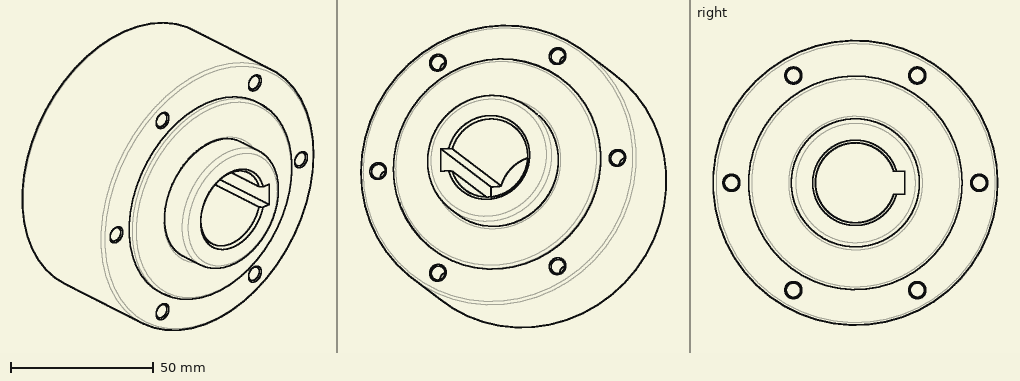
import cadquery as cq

hub_length = 68.0
hub_diameter = 45.0
hub_rounding = 1.5
cover_length = 48.0
cover_diameter = 75.0
cover_rounding = 1.0
rim_width = 43.0
rim_diameter = 100.0
rim_rounding = 1.0

bore_diameter = 28.0
bore_bevel = 1.0
key_width = 8.0
key_depth_from_axis = 17.3

hole_count = 6
hole_circle_diameter = 87.0
hole_diameter = 5.0
hole_mouth_diameter = 6.0
hole_depth = 12.0
hole_tip_length = 1.5


def disc(diameter, length):
    """Cylinder along X, centred on the origin."""
    return cq.Workplane("YZ", origin=(-length / 2, 0, 0)).circle(diameter / 2).extrude(length)


def revolved(outline):
    """Solid turned about the X axis from (x, radius) points."""
    return cq.Workplane("XY").polyline(outline).close().revolve(360, (0, 0, 0), (1, 0, 0))


def make_body():
    rim = disc(rim_diameter, rim_width).edges("%CIRCLE").fillet(rim_rounding)
    cover = disc(cover_diameter, cover_length).cut(disc(hub_diameter, cover_length))
    cover = cover.edges("%CIRCLE").fillet(cover_rounding)
    hub = disc(hub_diameter, hub_length).edges("%CIRCLE").fillet(hub_rounding)
    return rim.union(cover).union(hub)


def make_bore():
    end = hub_length / 2
    radius = bore_diameter / 2
    bore = revolved([
        (-end, 0),
        (-end, radius + bore_bevel),
        (-end + bore_bevel, radius),
        (end - bore_bevel, radius),
        (end, radius + bore_bevel),
        (end, 0),
    ])
    keyway = cq.Workplane("XY").box(
        hub_length, key_depth_from_axis, key_width, centered=(True, False, True)
    )
    return bore.union(keyway)


def make_screw_holes():
    """Pointed blind holes with bevelled mouths, entering from the -X rim face."""
    face = -rim_width / 2
    radius = hole_diameter / 2
    mouth_radius = hole_mouth_diameter / 2
    hole = revolved([
        (face, 0),
        (face, mouth_radius),
        (face + mouth_radius - radius, radius),
        (face + hole_depth, radius),
        (face + hole_depth + hole_tip_length, 0),
    ]).translate((0, hole_circle_diameter / 2, 0))
    holes = cq.Workplane("XY")
    for index in range(hole_count):
        holes = holes.add(hole.rotate((0, 0, 0), (1, 0, 0), index * 360 / hole_count))
    return holes.combine()


screw_holes = make_screw_holes()
part = make_body().cut(make_bore())
part = part.cut(screw_holes).cut(screw_holes.mirror("YZ"))
result = part.solids()